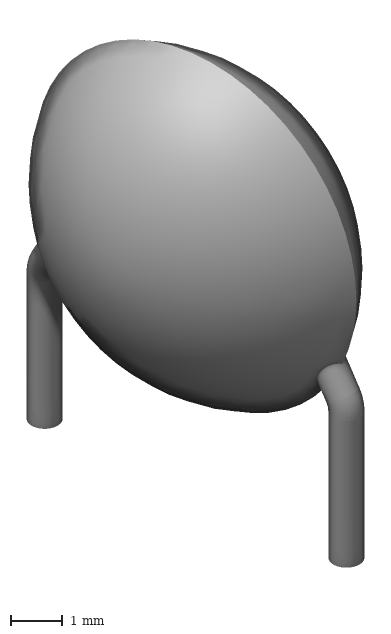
import cadquery as cq
import math

total_height = 10.1

body_diameter = 8.0
body_thickness = 5.0
body_radius = body_diameter / 2
cap_height = body_thickness / 2
body_center_z = total_height - body_radius

lead_diameter = 0.7
lead_spacing = 7.5
lead_straight_length = 3.41
bend_radius = 0.7
bend_angle = 30.0
lead_end_length = 1.52
seam_angle = 50.0


def make_body():
    """Revolve half of the lens profile about its thickness axis, Y."""
    sphere_radius = (body_radius**2 + cap_height**2) / (2 * cap_height)
    half_way = math.asin(body_radius / sphere_radius) / 2
    middle_x = sphere_radius * math.sin(half_way)
    middle_y = sphere_radius * math.cos(half_way) - (sphere_radius - cap_height)
    lens = (
        cq.Workplane("XY")
        .moveTo(0, -cap_height)
        .threePointArc((middle_x, -middle_y), (body_radius, 0))
        .threePointArc((middle_x, middle_y), (0, cap_height))
        .close()
        .revolve(360, (0, 0, 0), (0, 1, 0))
    )
    return lens.translate((0, 0, body_center_z))


def make_left_lead():
    """Sweep the wire up the straight leg, around the bend and into the body."""
    leg_x = -lead_spacing / 2
    bend_center_x = leg_x + bend_radius
    angle = math.radians(bend_angle)

    def bend_point(turn):
        return (
            bend_center_x - bend_radius * math.cos(turn),
            lead_straight_length + bend_radius * math.sin(turn),
        )

    bend_end = bend_point(angle)
    lead_end = (
        bend_end[0] + lead_end_length * math.sin(angle),
        bend_end[1] + lead_end_length * math.cos(angle),
    )
    path = (
        cq.Workplane("XZ")
        .moveTo(leg_x, 0)
        .lineTo(leg_x, lead_straight_length)
        .threePointArc(bend_point(angle / 2), bend_end)
        .lineTo(*lead_end)
    )
    section = cq.Workplane("XY").transformed(
        offset=(leg_x, 0, 0), rotate=(0, 0, seam_angle)
    )
    return section.circle(lead_diameter / 2).sweep(path)


left_lead = make_left_lead()
right_lead = left_lead.mirror("YZ")
result = make_body().union(left_lead).union(right_lead)